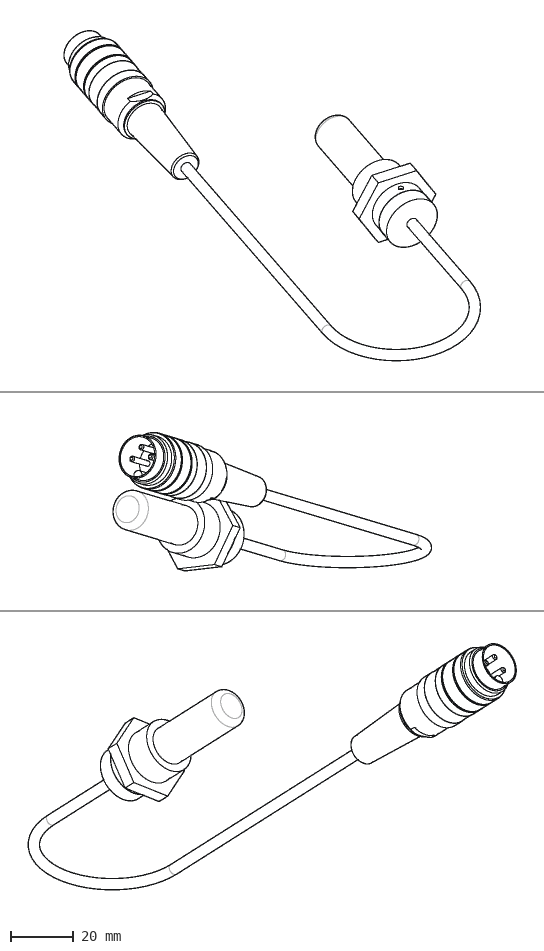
import cadquery as cq
import math

OVERALL_LENGTH = 193.3
AXIS_SPACING = 50.0

TIP_DIAMETER = 14.0
BORE_DIAMETER = 13.0
TIP_WALL = (TIP_DIAMETER - BORE_DIAMETER) / 2
BORE_DEPTH = 11.5
COLLAR_DIAMETER = 16.0
COLLAR_START = 4.6
COLLAR_CHAMFER = 0.5
GRIP_DIAMETER = 18.4
WAIST_DIAMETER = 18.2
GRIP_START = 7.7
GRIP_END = 30.5
GRIP_LEAD_LENGTH = 0.5
GRIP_LEAD_HEIGHT = 0.2
GROOVE_DIAMETER = 18.2
GROOVE_WIDTH = 0.5
GROOVE_STARTS = (11.8, 17.5)
WAIST_START = 21.3
WAIST_END = 26.9
BACK_DIAMETER = 17.2
BACK_CHAMFER_START = 40.0
BACK_CHAMFER_END = 41.5
BACK_END = 42.1
BACK_END_DIAMETER = 14.7
FLAT_START = 38.3
FLAT_SPACING = 15.0
STRAIN_RELIEF_START_DIAMETER = 12.8
STRAIN_RELIEF_END_DIAMETER = 10.0
STRAIN_RELIEF_END = 70.2
STRAIN_RELIEF_CHAMFER = 0.5

KEY_DIAMETER = 3.0
KEY_RECESS = 0.2
KEY_OFFSET = 6.0

PIN_DIAMETER = 1.8
PIN_CIRCLE_RADIUS = 3.5
PIN_CHAMFER = 0.4
PIN_RECESS = 2.0
PIN_SEAT_DEPTH = 2.0
PIN_ANGLES = (0, 90, 180)

SOCKET_DIAMETER = 2.3
SOCKET_DEPTH = 1.0
SOCKET_BORE_DIAMETER = 1.5
SOCKET_BORE_DEPTH = 2.0

CABLE_DIAMETER = 3.7
CABLE_SEAT_DEPTH = 3.9

BARREL_DIAMETER = 13.0
BARREL_START = 74.2
BARREL_FILLET = 2.1
FLANGE_DIAMETER = 18.2
FLANGE_START = 106.1
CAP_DIAMETER = 18.4
CAP_START = 124.5
SENSOR_END = 129.7
INDICATOR_DIAMETER = 1.7
INDICATOR_X = 122.1
INDICATOR_DEPTH = 1.0

NUT_SIDES = 6
NUT_ACROSS_FLATS = 24.0
NUT_START = 115.4
NUT_END = 119.8


def cylinder(diameter, start, end, y=0.0, z=0.0):
    """Cylinder along X from start to end."""
    return cq.Workplane("YZ", origin=(start, y, z)).circle(diameter / 2).extrude(end - start)


def plug_profile():
    """Half outline of the plug in the XY plane, turned around X."""
    return [
        (0, 0),
        (0, TIP_DIAMETER / 2),
        (COLLAR_START, TIP_DIAMETER / 2),
        (COLLAR_START, COLLAR_DIAMETER / 2 - COLLAR_CHAMFER),
        (COLLAR_START + COLLAR_CHAMFER, COLLAR_DIAMETER / 2),
        (GRIP_START, COLLAR_DIAMETER / 2),
        (GRIP_START, GRIP_DIAMETER / 2 - GRIP_LEAD_HEIGHT),
        (GRIP_START + GRIP_LEAD_LENGTH, GRIP_DIAMETER / 2),
        (WAIST_START, GRIP_DIAMETER / 2),
        (WAIST_START, WAIST_DIAMETER / 2),
        (WAIST_END, WAIST_DIAMETER / 2),
        (WAIST_END, GRIP_DIAMETER / 2),
        (GRIP_END, GRIP_DIAMETER / 2),
        (GRIP_END, BACK_DIAMETER / 2),
        (BACK_CHAMFER_START, BACK_DIAMETER / 2),
        (BACK_CHAMFER_END, BACK_END_DIAMETER / 2),
        (BACK_END, BACK_END_DIAMETER / 2),
        (BACK_END, STRAIN_RELIEF_START_DIAMETER / 2),
        (STRAIN_RELIEF_END - STRAIN_RELIEF_CHAMFER, STRAIN_RELIEF_END_DIAMETER / 2),
        (STRAIN_RELIEF_END, STRAIN_RELIEF_END_DIAMETER / 2 - STRAIN_RELIEF_CHAMFER),
        (STRAIN_RELIEF_END, 0),
    ]


def ring(outer, inner, start, width):
    """Ring around the X axis, used to cut a groove."""
    return cylinder(outer, start, start + width).cut(cylinder(inner, start, start + width))


def key_rib():
    """Round-topped rib along the bottom of the plug bore, kept inside the tip wall."""
    rod = cylinder(KEY_DIAMETER, KEY_RECESS, BORE_DEPTH, z=-KEY_OFFSET)
    return rod.intersect(cylinder(TIP_DIAMETER - TIP_WALL, 0, BORE_DEPTH))


def wrench_flats():
    """Blocks that cut the two flats at the back of the plug."""
    length = BACK_END - FLAT_START
    block = cq.Workplane("XY").box(length, BACK_DIAMETER, BACK_DIAMETER)
    offset = (FLAT_SPACING + BACK_DIAMETER) / 2
    x = FLAT_START + length / 2
    return block.translate((x, 0, offset)).union(block.translate((x, 0, -offset)))


def make_plug():
    plug = cq.Workplane("XY").polyline(plug_profile()).close().revolve(360, (0, 0, 0), (1, 0, 0))
    plug = plug.cut(cylinder(BORE_DIAMETER, 0, BORE_DEPTH)).union(key_rib())
    for diameter, depth in ((SOCKET_DIAMETER, SOCKET_DEPTH), (SOCKET_BORE_DIAMETER, SOCKET_BORE_DEPTH)):
        plug = plug.cut(cylinder(diameter, BORE_DEPTH, BORE_DEPTH + depth, z=-PIN_CIRCLE_RADIUS))
    for start in GROOVE_STARTS:
        plug = plug.cut(ring(GRIP_DIAMETER, GROOVE_DIAMETER, start, GROOVE_WIDTH))
    return plug.cut(wrench_flats())


def make_pin(angle):
    """Contact pin at an angle around the plug axis, with a chamfered tip."""
    y = PIN_CIRCLE_RADIUS * math.cos(math.radians(angle))
    z = PIN_CIRCLE_RADIUS * math.sin(math.radians(angle))
    pin = cylinder(PIN_DIAMETER, PIN_RECESS, BORE_DEPTH + PIN_SEAT_DEPTH, y, z)
    return pin.faces("<X").edges().chamfer(PIN_CHAMFER)


def make_cable():
    bend_radius = AXIS_SPACING / 2
    bend_x = OVERALL_LENGTH - CABLE_DIAMETER / 2 - bend_radius
    plug_end = STRAIN_RELIEF_END - CABLE_SEAT_DEPTH
    path = (
        cq.Workplane("XY")
        .moveTo(plug_end, 0)
        .lineTo(bend_x, 0)
        .threePointArc((bend_x + bend_radius, bend_radius), (bend_x, AXIS_SPACING))
        .lineTo(SENSOR_END - CABLE_SEAT_DEPTH, AXIS_SPACING)
    )
    return cq.Workplane("YZ", origin=(plug_end, 0, 0)).circle(CABLE_DIAMETER / 2).sweep(path)


def make_sensor():
    barrel = cylinder(BARREL_DIAMETER, BARREL_START, FLANGE_START, AXIS_SPACING)
    barrel = barrel.faces("<X").edges().fillet(BARREL_FILLET)
    flange = cylinder(FLANGE_DIAMETER, FLANGE_START, CAP_START, AXIS_SPACING)
    cap = cylinder(CAP_DIAMETER, CAP_START, SENSOR_END, AXIS_SPACING)
    indicator = (
        cq.Workplane("XY", origin=(INDICATOR_X, AXIS_SPACING, FLANGE_DIAMETER / 2 - INDICATOR_DEPTH))
        .circle(INDICATOR_DIAMETER / 2)
        .extrude(FLANGE_DIAMETER)
    )
    return barrel.union(flange).union(cap).cut(indicator)


def make_nut():
    across_corners = NUT_ACROSS_FLATS / math.cos(math.pi / NUT_SIDES)
    return (
        cq.Workplane("YZ", origin=(NUT_START, AXIS_SPACING, 0))
        .polygon(NUT_SIDES, across_corners)
        .circle(FLANGE_DIAMETER / 2)
        .extrude(NUT_END - NUT_START)
    )


cable = make_cable()
pins = [make_pin(angle) for angle in PIN_ANGLES]
plug = make_plug().cut(cable)
for pin in pins:
    plug = plug.cut(pin)
sensor = make_sensor().cut(cable)
nut = make_nut()

result = cq.Compound.makeCompound(
    [plug.val(), *[pin.val() for pin in pins], cable.val(), sensor.val(), nut.val()]
)